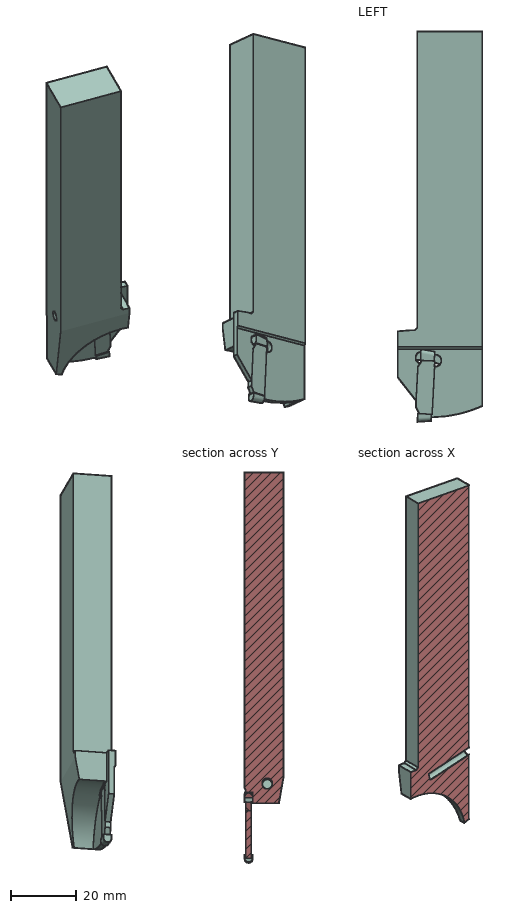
import cadquery as cq
import math


shank_thickness = 12.0
shank_depth = 20.0
top_z = 120.2

lug_depth = 26.0
thick_depth = 22.8
ledge_z = 28.3
ledge_end_y = 21.8
root_chamfer = 0.7
lug_slope = 5.0
lug_bottom_z = 13.7
jaw_tip_y = 20.6
jaw_tip_z = 6.8
jaw_root_z = 6.0
side_taper_z = 26.2
side_taper_angle = 10.0
recess_top_z = 23.1
recess_ramp_height = 0.7

blade_front_z = 4.9
blade_mid = (6.8, 2.55)
blade_end = (15.5, 1.4)

clearance_radius = 18.4
clearance_top_z = 19.1

coolant_diameter = 3.0
coolant_x = 7.0
coolant_z = 28.4
coolant_angle = 15.0
coolant_length = 16.0

insert_width = 2.5
insert_length = 22.4
insert_tilt = 3.0
side_step = 0.35
lower_head_length = 2.6
upper_head_length = 3.4
head_depth = 4.25
neck_depth = 4.45
neck_rise = 0.7
notch_depth = 0.4
notch_run = 2.0
end_clearance = 7.0

relief_radius = 1.8
relief_centers = [(18.7, 19.8), (14.4, 18.9)]

nose_radius = insert_width / 2
blade_far_x = insert_width - side_step
relief_drop = head_depth * math.tan(math.radians(end_clearance))
lug_top_z = ledge_z - (lug_depth - ledge_end_y) * math.tan(math.radians(lug_slope))


def extrude_x(sketch_points, x_start, x_end):
    """Prism along X over a polygon of (Y, Z) points."""
    plane = cq.Workplane("YZ", origin=(x_start, 0, 0))
    return plane.polyline(sketch_points).close().extrude(x_end - x_start)


def cylinder_x(center, radius, x_start, x_end):
    """Cylinder along X around a (Y, Z) centre."""
    plane = cq.Workplane("YZ", origin=(x_start, 0, 0))
    return plane.center(*center).circle(radius).extrude(x_end - x_start)


def place_insert(shape):
    """Lean an upright insert shape back and move its tip to the front of the blade."""
    return shape.rotate((0, 0, 0), (1, 0, 0), insert_tilt).translate((0, shank_depth, 0))


upper_head_z = insert_length - upper_head_length

neck_outline = [
    (-notch_depth, lower_head_length),
    (neck_rise, lower_head_length + notch_run),
    (neck_rise, upper_head_z - notch_run),
    (-notch_depth, upper_head_z),
    (-neck_depth, upper_head_z),
    (-neck_depth, lower_head_length),
]


def head_outline(tip_z, root_z):
    """Side outline of one cutting head, relieved from its tip toward its root."""
    heel_z = tip_z + math.copysign(relief_drop, root_z - tip_z)
    return [(0, tip_z), (0, root_z), (-head_depth, root_z), (-head_depth, heel_z)]


def nosed_head(tip_z, root_z):
    """Cutting head whose full-radius nose follows the slanted relief."""
    direction = math.copysign(1, root_z - tip_z)
    nose_z = tip_z + direction * nose_radius
    profile = (
        cq.Workplane("XZ")
        .moveTo(0, root_z)
        .lineTo(0, nose_z)
        .threePointArc((nose_radius, tip_z), (insert_width, nose_z))
        .lineTo(insert_width, root_z)
        .close()
        .val()
    )
    sweep = cq.Vector(0, -head_depth, direction * relief_drop)
    swept = cq.Workplane(cq.Solid.extrudeLinear(profile, [], sweep))
    return swept.intersect(extrude_x(head_outline(tip_z, root_z), 0, insert_width))


def make_insert():
    neck = extrude_x(neck_outline, side_step, blade_far_x)
    lower_head = nosed_head(0, lower_head_length)
    upper_head = nosed_head(insert_length, upper_head_z)
    return place_insert(neck.union(lower_head).union(upper_head))


def make_insert_pocket():
    """Seat through the blade, with a deeper recess around the upper head."""
    neck_seat = extrude_x(neck_outline, 0, blade_far_x)
    lower_recess = extrude_x(head_outline(0, lower_head_length), 0, insert_width)
    upper_recess = extrude_x(head_outline(insert_length, upper_head_z), 0, insert_width)
    pocket = place_insert(neck_seat.union(lower_recess).union(upper_recess))
    for center in relief_centers:
        pocket = pocket.union(cylinder_x(center, relief_radius, 0, insert_width))
    return pocket


def side_profile(x_start, x_end):
    """Shank and blade outline in the YZ plane, extruded between two X positions."""
    return (
        cq.Workplane("YZ", origin=(x_start, 0, 0))
        .moveTo(0, blade_front_z)
        .threePointArc(blade_mid, blade_end)
        .lineTo(shank_depth, jaw_root_z)
        .lineTo(jaw_tip_y, jaw_tip_z)
        .lineTo(lug_depth, lug_bottom_z)
        .lineTo(lug_depth, lug_top_z)
        .lineTo(ledge_end_y, ledge_z)
        .lineTo(shank_depth + root_chamfer, ledge_z)
        .lineTo(shank_depth, ledge_z + root_chamfer)
        .lineTo(shank_depth, top_z)
        .lineTo(0, top_z)
        .close()
        .extrude(x_end - x_start)
    )


def make_thick_part():
    """Full-thickness shank and head, trimmed in depth and cleared by a round relief."""
    thick_size = shank_thickness - blade_far_x
    trim_plane = cq.Workplane("XY", origin=(blade_far_x, 0, 0))
    trim = trim_plane.box(thick_size, thick_depth, top_z, centered=False)
    clearance_center = (shank_depth, clearance_top_z - clearance_radius)
    clearance = cylinder_x(clearance_center, clearance_radius, blade_far_x, shank_thickness)
    return side_profile(blade_far_x, shank_thickness).intersect(trim).cut(clearance)


def make_side_cuts():
    """Recess on the insert side and taper on the opposite side."""
    taper_inset = side_taper_z * math.tan(math.radians(side_taper_angle))
    recess_points = [
        (0, 0),
        (side_step, 0),
        (side_step, recess_top_z - recess_ramp_height),
        (0, recess_top_z),
    ]
    taper_points = [
        (shank_thickness, 0),
        (shank_thickness, side_taper_z),
        (shank_thickness - taper_inset, 0),
    ]
    recess = cq.Workplane("XZ").polyline(recess_points).close().extrude(-lug_depth)
    taper = cq.Workplane("XZ").polyline(taper_points).close().extrude(-lug_depth)
    return recess.union(taper)


def make_coolant_hole():
    """Blind hole that enters the front face and runs down toward the insert."""
    angle = math.radians(coolant_angle)
    direction = cq.Vector(0, math.cos(angle), -math.sin(angle))
    entry = cq.Vector(coolant_x, 0, coolant_z)
    start = entry - direction * coolant_diameter
    length = coolant_length + coolant_diameter
    return cq.Workplane(cq.Solid.makeCylinder(coolant_diameter / 2, length, start, direction))


def make_holder():
    body = side_profile(0, blade_far_x).union(make_thick_part())
    body = body.cut(make_side_cuts())
    body = body.cut(make_insert_pocket())
    return body.cut(make_coolant_hole())


holder = make_holder()
insert = make_insert()

result = cq.Compound.makeCompound([*holder.solids().vals(), *insert.solids().vals()])